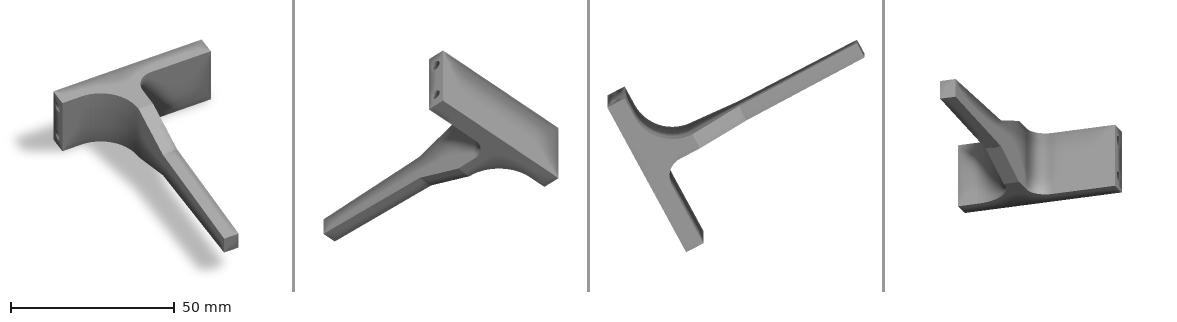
import cadquery as cq

plate_thickness = 6.0
plate_length = 51.0
height = 20.0

overall_reach = 76.0
arm_thickness = 5.0
arm_near_y = 19.5
arm_far_y = arm_near_y + arm_thickness
near_fillet_radius = 13.0
far_fillet_radius = 6.0

taper_start_x = plate_thickness + near_fillet_radius
taper_break_x = 35.2
taper_break_height = 8.5
tip_height = 5.8

hole_diameter = 3.0
hole_spacing = 11.7


def make_tee():
    """Full-height T outline with a rounded inside corner on each side of the arm."""
    tee = (
        cq.Workplane("XY")
        .workplane(offset=-height / 2)
        .polyline([
            (0, 0),
            (plate_thickness, 0),
            (plate_thickness, arm_near_y),
            (overall_reach, arm_near_y),
            (overall_reach, arm_far_y),
            (plate_thickness, arm_far_y),
            (plate_thickness, plate_length),
            (0, plate_length),
        ])
        .close()
        .extrude(height)
    )
    near_corner = cq.NearestToPointSelector((plate_thickness, arm_near_y, 0))
    far_corner = cq.NearestToPointSelector((plate_thickness, arm_far_y, 0))
    tee = tee.edges("|Z").edges(near_corner).fillet(near_fillet_radius)
    return tee.edges("|Z").edges(far_corner).fillet(far_fillet_radius)


def make_side_envelope():
    """Side profile that narrows the arm in two straight tapers toward its tip."""
    upper_edge = [
        (0, height / 2),
        (taper_start_x, height / 2),
        (taper_break_x, taper_break_height / 2),
        (overall_reach, tip_height / 2),
    ]
    lower_edge = [(x, -z) for x, z in reversed(upper_edge)]
    return (
        cq.Workplane("XZ")
        .polyline(upper_edge + lower_edge)
        .close()
        .extrude(-plate_length)
    )


def make_plate_holes():
    """Pair of through holes along Y, centred in the plate thickness."""
    return (
        cq.Workplane("XZ")
        .pushPoints([(plate_thickness / 2, side * hole_spacing / 2) for side in (-1, 1)])
        .circle(hole_diameter / 2)
        .extrude(-plate_length)
    )


result = make_tee().intersect(make_side_envelope()).cut(make_plate_holes())